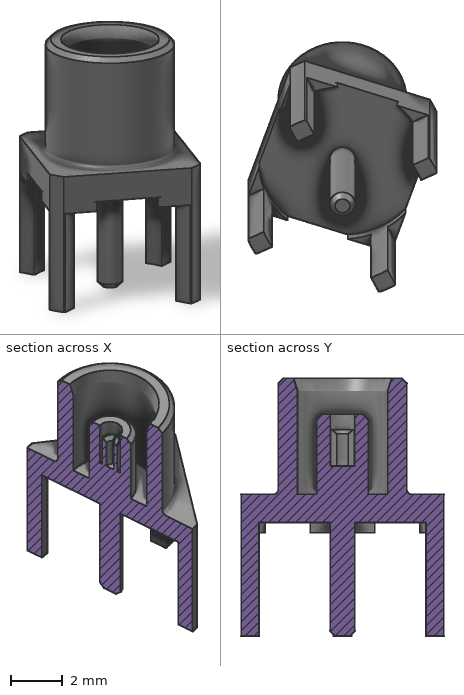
import cadquery as cq
import math

flange_side = 6
corner_radius = 3.94
seat_height = 4
flange_thickness = 1.5
flange_top = seat_height + flange_thickness
total_height = 10

recess_radius = 3.24
recess_depth = 0.4
leg_width = 0.72

barrel_radius = 2.5
rim_chamfer = 0.2
root_fillet = 0.2
mouth_radius = 1.9
mouth_depth = 0.5
bore_radius = 1.74
bore_floor = flange_top

boss_radius = 1
boss_chamfer = 0.2
boss_top = 8.6
boss_hole_radius = 0.47

contact_top = boss_top - 0.6
contact_slot_width = 0.06
contact_slot_floor = 6.6
tine_shift = 0.1
tine_bore_radius = 0.26
tine_lead_in = 0.16

pin_radius = 0.49
pin_chamfer = 0.2
pin_bottom = 0


def cylinder(radius, bottom, top):
    return cq.Workplane("XY").workplane(offset=bottom).circle(radius).extrude(top - bottom)


def corner_stock():
    """Full-height bar whose cross-section is the flange outline."""
    bar = cq.Workplane("XY").rect(flange_side, flange_side).extrude(flange_top)
    return bar.rotate((0, 0, 0), (0, 0, 1), 45).intersect(cylinder(corner_radius, 0, flange_top))


def flange_with_legs():
    stock = corner_stock()
    flange = stock.intersect(cylinder(corner_radius, seat_height, flange_top))
    strips = cq.Workplane("XY").rect(2 * corner_radius, leg_width).extrude(flange_top)
    strips = strips.union(cq.Workplane("XY").rect(leg_width, 2 * corner_radius).extrude(flange_top))
    legs = stock.intersect(strips)
    return flange.union(legs).cut(cylinder(recess_radius, 0, seat_height + recess_depth))


def barrel():
    """Turned barrel with a chamfered rim and a concave fillet at its root."""
    fillet_top = flange_top + root_fillet
    arc_offset = root_fillet * (1 - math.sqrt(0.5))
    return (
        cq.Workplane("XZ")
        .moveTo(0, flange_top)
        .lineTo(barrel_radius + root_fillet, flange_top)
        .threePointArc((barrel_radius + arc_offset, flange_top + arc_offset), (barrel_radius, fillet_top))
        .lineTo(barrel_radius, total_height - rim_chamfer)
        .lineTo(barrel_radius - rim_chamfer, total_height)
        .lineTo(0, total_height)
        .close()
        .revolve(360, (0, 0, 0), (0, 1, 0))
    )


def bore():
    """Straight bore with a tapered mouth."""
    return (
        cq.Workplane("XZ")
        .moveTo(0, bore_floor)
        .lineTo(bore_radius, bore_floor)
        .lineTo(bore_radius, total_height - mouth_depth)
        .lineTo(mouth_radius, total_height)
        .lineTo(0, total_height)
        .close()
        .revolve(360, (0, 0, 0), (0, 1, 0))
    )


def boss():
    body = cylinder(boss_radius, bore_floor, boss_top).faces(">Z").chamfer(boss_chamfer)
    return body.cut(cylinder(boss_hole_radius, contact_slot_floor, boss_top))


def tine(side):
    """Half tube on the +Y (side = 1) or -Y (side = -1) half of the contact, with a flared mouth."""
    tube = cylinder(boss_hole_radius, contact_slot_floor, contact_top)
    tube = tube.cut(cylinder(tine_bore_radius, contact_slot_floor, contact_top))
    tube = tube.faces(">Z").edges("%CIRCLE").edges(cq.selectors.RadiusNthSelector(0)).chamfer(tine_lead_in)
    half = (
        cq.Workplane("XY")
        .workplane(offset=contact_slot_floor)
        .center(0, side * (contact_slot_width / 2 + boss_hole_radius / 2))
        .rect(2 * boss_hole_radius, boss_hole_radius)
        .extrude(contact_top - contact_slot_floor)
    )
    return tube.translate((0, -side * tine_shift, 0)).intersect(half)


def solder_pin():
    pin = cylinder(pin_radius, pin_bottom, seat_height + recess_depth)
    return pin.faces("<Z").chamfer(pin_chamfer)


shell = flange_with_legs().union(barrel()).cut(bore())
result = shell.union(boss()).union(tine(1)).union(tine(-1)).union(solder_pin())